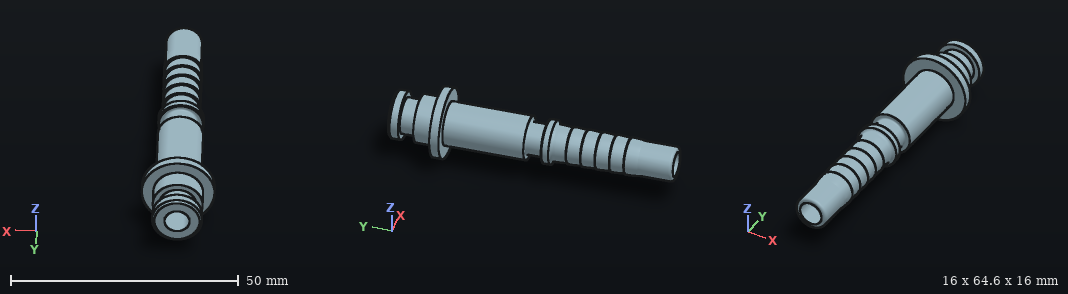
import cadquery as cq

total_length = 64.6
head_groove_back = 62.15
head_groove_front = 58.65
flange_back = 54.25
flange_front = 52.1
sleeve_front = 33.6
collar_back = 29.65
collar_front = 27.9
first_land_front = 26.55
tail_length = 7.7

bore_radius = 5.5 / 2
head_radius = 11.0 / 2
groove_radius = 8.2 / 2
flange_radius = 16.0 / 2
sleeve_radius = 10.0 / 2
neck_radius = 7.4 / 2
barb_radius = 8.4 / 2
tail_radius = 7.9 / 2

head_chamfer = 0.5
neck_fillet = 0.4
collar_chamfer = 0.2
tip_fillet = 0.65
collar_fillet = sleeve_radius - barb_radius

barb_count = 6
barb_curve_length = first_land_front - tail_length
barb_rise = 0.2
barb_land = 0.8
barb_slope_length = (barb_curve_length - (barb_count - 1) * (barb_rise + barb_land)) / barb_count


def add_barb_slope(profile, land_edge):
    """Add a convex arc, tangent to the land, falling to the tail radius; return its low end."""
    low_end = land_edge - barb_slope_length
    return profile.tangentArcPoint((tail_radius, low_end), relative=False), low_end


def outer_profile():
    """Half section in the XY plane, from the head face to the tip."""
    profile = (
        cq.Workplane("XY")
        .moveTo(bore_radius, total_length)
        .lineTo(head_radius - head_chamfer, total_length)
        .lineTo(head_radius, total_length - head_chamfer)
        .lineTo(head_radius, head_groove_back)
        .lineTo(groove_radius, head_groove_back)
        .lineTo(groove_radius, head_groove_front)
        .lineTo(head_radius, head_groove_front)
        .lineTo(head_radius, flange_back)
        .lineTo(flange_radius, flange_back)
        .lineTo(flange_radius, flange_front)
        .lineTo(sleeve_radius, flange_front)
        .lineTo(sleeve_radius, sleeve_front)
        .lineTo(neck_radius + neck_fillet, sleeve_front)
        .tangentArcPoint((neck_radius, sleeve_front - neck_fillet), relative=False)
        .lineTo(neck_radius, collar_back + neck_fillet)
        .tangentArcPoint((neck_radius + neck_fillet, collar_back), relative=False)
        .lineTo(sleeve_radius - collar_chamfer, collar_back)
        .lineTo(sleeve_radius, collar_back - collar_chamfer)
        .lineTo(sleeve_radius, collar_front)
        .radiusArc((barb_radius, collar_front - collar_fillet), -collar_fillet)
        .lineTo(barb_radius, first_land_front)
    )

    profile, low_end = add_barb_slope(profile, first_land_front)
    for _ in range(barb_count - 1):
        land_back = low_end - barb_rise
        land_front = land_back - barb_land
        profile = profile.lineTo(barb_radius, land_back).lineTo(barb_radius, land_front)
        profile, low_end = add_barb_slope(profile, land_front)

    return (
        profile.lineTo(tail_radius, tip_fillet)
        .tangentArcPoint((tail_radius - tip_fillet, 0), relative=False)
        .lineTo(bore_radius, 0)
        .close()
    )


result = outer_profile().revolve(360, (0, 0, 0), (0, 1, 0))